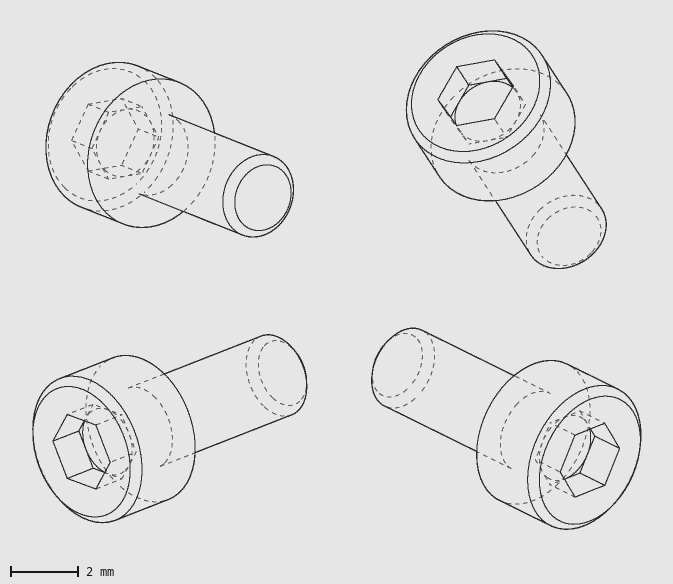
import cadquery as cq
import math

total_length = 8.5
head_diameter = 4.5
head_length = 2.5
head_chamfer = 0.25
shank_diameter = 2.5
tip_chamfer = 0.255
neck_fillet = 0.1

socket_flats = 2.04
socket_depth = 1.1
cone_included_angle = 120.0

head_radius = head_diameter / 2
shank_radius = shank_diameter / 2


def screw_body():
    """Head and shank revolved as one profile, with a concave fillet under the head."""
    fillet_inset = neck_fillet * (1 - math.sqrt(0.5))
    profile = (
        cq.Workplane("XY")
        .lineTo(0, head_radius - head_chamfer)
        .lineTo(head_chamfer, head_radius)
        .lineTo(head_length, head_radius)
        .lineTo(head_length, shank_radius + neck_fillet)
        .threePointArc(
            (head_length + fillet_inset, shank_radius + fillet_inset),
            (head_length + neck_fillet, shank_radius),
        )
        .lineTo(total_length - tip_chamfer, shank_radius)
        .lineTo(total_length, shank_radius - tip_chamfer)
        .lineTo(total_length, 0)
        .close()
    )
    return profile.revolve(360, (0, 0, 0), (1, 0, 0))


def hex_socket():
    """Hexagonal prism with corners toward +Y and -Y."""
    across_corners = socket_flats / math.cos(math.radians(30))
    return cq.Workplane("YZ").polygon(6, across_corners).extrude(socket_depth)


def socket_cone():
    """Drill point below the socket, as wide as the hexagon's flats."""
    cone_radius = socket_flats / 2
    cone_depth = cone_radius / math.tan(math.radians(cone_included_angle / 2))
    return (
        cq.Workplane("XY")
        .moveTo(socket_depth, 0)
        .lineTo(socket_depth, cone_radius)
        .lineTo(socket_depth + cone_depth, 0)
        .close()
        .revolve(360, (0, 0, 0), (1, 0, 0))
    )


result = screw_body().cut(hex_socket()).cut(socket_cone())